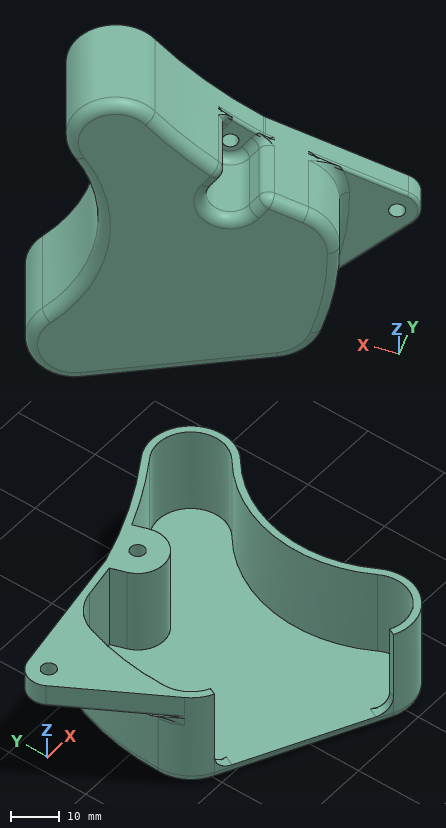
import cadquery as cq
import math

HEIGHT = 25.0
FLOOR = 3.0
PLATE_THICKNESS = 6.0
WALL = 1.8
PLATE_BOTTOM = HEIGHT - PLATE_THICKNESS

LUG_CENTER, LUG_RADIUS = (5.0, 50.75), 5.0
CORNER_CENTER, CORNER_RADIUS = (25.0, 29.2), 11.1
TOE_CENTER, TOE_RADIUS = (61.1, 10.3), 10.3
HORN_CENTER, HORN_RADIUS = (71.2, 65.4), 10.3

BACK_KINK = (37.5, 61.25)
KINK_FILLET = 4.1
BACK_CURVE_RADIUS = 111.6
BAY_RADIUS = 32.6
LEFT_WALL_RADIUS = 66.8
SHOULDER_RADIUS = 12.2

SCREW_HOLE_DIAMETER = 3.5
BOSS_CENTER = (43.65, 57.75)
BOSS_RADIUS = 6.8
BOSS_ANGLE = 19.0
BOSS_REACH = 16.3
NOTCH_RADIUS = BOSS_RADIUS - WALL
NOTCH_LIP_RADIUS = 2.5
NOTCH_LIP_DISTANCE = 5.3

WINDOW_CORNER_RADIUS = 4.0
WINDOW_DEPTH = 2.5

BOTTOM_FILLET = 2.5
PLATE_FILLET = 0.7
ROOT_FILLET = 2.0

MARGIN = 16.3
SURROUND_SIZE = 325.8


def toward(start, end, distance):
    """Point at a distance from start in the direction of end."""
    length = math.dist(start, end)
    return tuple(s + (e - s) * distance / length for s, e in zip(start, end))


def shared_point(center_a, radius_a, center_b, radius_b):
    """Crossing of two circles that lies to the left of the line from a to b."""
    gap = math.dist(center_a, center_b)
    along = (radius_a**2 - radius_b**2 + gap**2) / (2 * gap)
    across = math.sqrt(radius_a**2 - along**2)
    ux = (center_b[0] - center_a[0]) / gap
    uy = (center_b[1] - center_a[1]) / gap
    return (center_a[0] + along * ux - across * uy, center_a[1] + along * uy + across * ux)


def outer_tangent(center_a, radius_a, center_b, radius_b):
    """Ends of the common tangent that lies to the right of the line from a to b."""
    heading = math.atan2(center_b[1] - center_a[1], center_b[0] - center_a[0])
    lean = math.acos((radius_a - radius_b) / math.dist(center_a, center_b))
    nx, ny = math.cos(heading - lean), math.sin(heading - lean)
    return (
        (center_a[0] + radius_a * nx, center_a[1] + radius_a * ny),
        (center_b[0] + radius_b * nx, center_b[1] + radius_b * ny),
    )


def arc_middle(center, start, end):
    """Middle of the shorter arc from start to end."""
    chord_middle = ((start[0] + end[0]) / 2, (start[1] + end[1]) / 2)
    return toward(center, chord_middle, math.dist(center, start))


def arc_to(sketch, center, start, end):
    return sketch.threePointArc(arc_middle(center, start, end), end)


lug_left, corner_left = outer_tangent(LUG_CENTER, LUG_RADIUS, CORNER_CENTER, CORNER_RADIUS)
window_left, window_right = outer_tangent(CORNER_CENTER, CORNER_RADIUS, TOE_CENTER, TOE_RADIUS)
lug_back = outer_tangent(BACK_KINK, 0, LUG_CENTER, LUG_RADIUS)[1]

bay_center = shared_point(HORN_CENTER, HORN_RADIUS + BAY_RADIUS, TOE_CENTER, TOE_RADIUS + BAY_RADIUS)
horn_tip = toward(HORN_CENTER, BOSS_CENTER, -HORN_RADIUS)
toe_bay = toward(TOE_CENTER, bay_center, TOE_RADIUS)
horn_bay = toward(HORN_CENTER, bay_center, HORN_RADIUS)
back_center = shared_point(BACK_KINK, BACK_CURVE_RADIUS, HORN_CENTER, HORN_RADIUS + BACK_CURVE_RADIUS)
horn_back = toward(HORN_CENTER, back_center, HORN_RADIUS)

corner_wall = (CORNER_CENTER[0] - CORNER_RADIUS, CORNER_CENTER[1])
left_wall_center = (corner_wall[0] + LEFT_WALL_RADIUS, corner_wall[1])
back_angle = math.atan2(BACK_KINK[1] - lug_back[1], BACK_KINK[0] - lug_back[0])
inward = (math.sin(back_angle), -math.cos(back_angle))
across = sum((p - c) * n for p, c, n in zip(BACK_KINK, left_wall_center, inward)) + SHOULDER_RADIUS
along = math.sqrt((LEFT_WALL_RADIUS - SHOULDER_RADIUS) ** 2 - across**2)
shoulder_center = (
    left_wall_center[0] + across * inward[0] - along * math.cos(back_angle),
    left_wall_center[1] + across * inward[1] - along * math.sin(back_angle),
)
shoulder_back = tuple(c - SHOULDER_RADIUS * n for c, n in zip(shoulder_center, inward))
shoulder_wall = toward(left_wall_center, shoulder_center, LEFT_WALL_RADIUS)


def front_and_right(sketch):
    """Outline from the front window round the toe, bay and horn to the back kink."""
    toe_bottom = (TOE_CENTER[0], TOE_CENTER[1] - TOE_RADIUS)
    sketch = sketch.lineTo(*window_right).threePointArc(toe_bottom, toe_bay)
    sketch = arc_to(sketch, bay_center, toe_bay, horn_bay)
    sketch = sketch.threePointArc(horn_tip, horn_back)
    return arc_to(sketch, back_center, horn_back, BACK_KINK)


def full_outline():
    """Outline of the top plate, with the lug."""
    sketch = front_and_right(cq.Workplane().moveTo(*window_left)).lineTo(*lug_back)
    sketch = arc_to(sketch, LUG_CENTER, lug_back, lug_left).lineTo(*corner_left)
    return arc_to(sketch, CORNER_CENTER, corner_left, window_left).close()


def basin_outline():
    """Outline of the deep basin, without the lug."""
    sketch = front_and_right(cq.Workplane().moveTo(*window_left)).lineTo(*shoulder_back)
    sketch = arc_to(sketch, shoulder_center, shoulder_back, shoulder_wall)
    sketch = arc_to(sketch, left_wall_center, shoulder_wall, corner_wall)
    return arc_to(sketch, CORNER_CENTER, corner_wall, window_left).close()


def boss_prism(radius):
    """Full-height U-shaped prism round the boss screw, running out through the back wall."""
    stem = cq.Workplane().center(0, BOSS_REACH / 2).rect(2 * radius, BOSS_REACH).extrude(HEIGHT)
    prism = stem.union(cq.Workplane().circle(radius).extrude(HEIGHT))
    return prism.rotate((0, 0, 0), (0, 0, 1), BOSS_ANGLE).translate((*BOSS_CENTER, 0))


def above_floor(shape):
    return shape.translate((0, 0, FLOOR))


def disc(center, radius):
    return cq.Workplane().center(*center).circle(radius).extrude(HEIGHT)


def front_block():
    """Upright block on the straight front edge, as wide as the window, WINDOW_DEPTH into the part."""
    run_x = window_right[0] - window_left[0]
    run_y = window_right[1] - window_left[1]
    block = cq.Workplane().box(math.hypot(run_x, run_y), MARGIN + WINDOW_DEPTH, HEIGHT, centered=False)
    return block.translate((0, -MARGIN, 0)), math.degrees(math.atan2(run_y, run_x))


def place_on_front(block, angle):
    return block.rotate((0, 0, 0), (0, 0, 1), angle).translate((*window_left, 0))


def notch_lips():
    """Points where the two sides of the notch break through the back wall."""
    axis = math.radians(BOSS_ANGLE)
    side = (math.cos(axis), math.sin(axis))
    for sign in (-1, 1):
        yield tuple(
            b + sign * NOTCH_RADIUS * s + NOTCH_LIP_DISTANCE * o
            for b, s, o in zip(BOSS_CENTER, side, (-side[1], side[0]))
        )


def make_basin():
    """Solid basin, notched behind the boss, with the lips of the notch rounded."""
    basin = basin_outline().extrude(HEIGHT).cut(boss_prism(NOTCH_RADIUS))
    for lip in notch_lips():
        basin = basin.edges(cq.selectors.NearestToPointSelector((*lip, HEIGHT / 2))).fillet(NOTCH_LIP_RADIUS)
    return basin


def make_plate():
    """Top plate with the lug, rounded along its lower edge."""
    plate = full_outline().extrude(PLATE_THICKNESS).translate((0, 0, PLATE_BOTTOM))
    kink_edge = cq.selectors.NearestToPointSelector((*BACK_KINK, PLATE_BOTTOM + PLATE_THICKNESS / 2))
    plate = plate.edges(kink_edge).fillet(KINK_FILLET)
    return plate.faces("<Z").edges().fillet(PLATE_FILLET)


def make_root_fillet(basin_prism):
    """Concave fillet where the underside of the plate meets the wall of the basin."""
    surround = cq.Workplane().rect(SURROUND_SIZE, SURROUND_SIZE).extrude(PLATE_BOTTOM).cut(basin_prism)
    rim = surround.faces(">Z").val().innerWires()[0]
    surround = surround.newObject(rim.Edges()).fillet(ROOT_FILLET)
    ring = full_outline().extrude(ROOT_FILLET).translate((0, 0, PLATE_BOTTOM - ROOT_FILLET))
    return ring.cut(surround)


def make_cavity():
    """Inside of the basin; both front corners stay round past the ends of the window."""
    cavity = basin_outline().offset2D(-WALL).extrude(HEIGHT)
    cavity = cavity.cut(place_on_front(*front_block()))
    cavity = cavity.union(disc(CORNER_CENTER, CORNER_RADIUS - WALL))
    cavity = cavity.union(disc(TOE_CENTER, TOE_RADIUS - WALL))
    return above_floor(cavity.cut(boss_prism(BOSS_RADIUS)))


def make_window():
    """Opening through the front wall, with round lower corners."""
    block, angle = front_block()
    block = block.faces("<Z").edges("|Y").fillet(WINDOW_CORNER_RADIUS)
    return above_floor(place_on_front(block, angle))


basin_prism = make_basin()
result = basin_prism.faces("<Z").edges().fillet(BOTTOM_FILLET)
result = result.union(make_plate()).union(make_root_fillet(basin_prism))
result = result.cut(make_cavity()).cut(make_window())
for hole_center in (LUG_CENTER, BOSS_CENTER):
    result = result.cut(disc(hole_center, SCREW_HOLE_DIAMETER / 2))